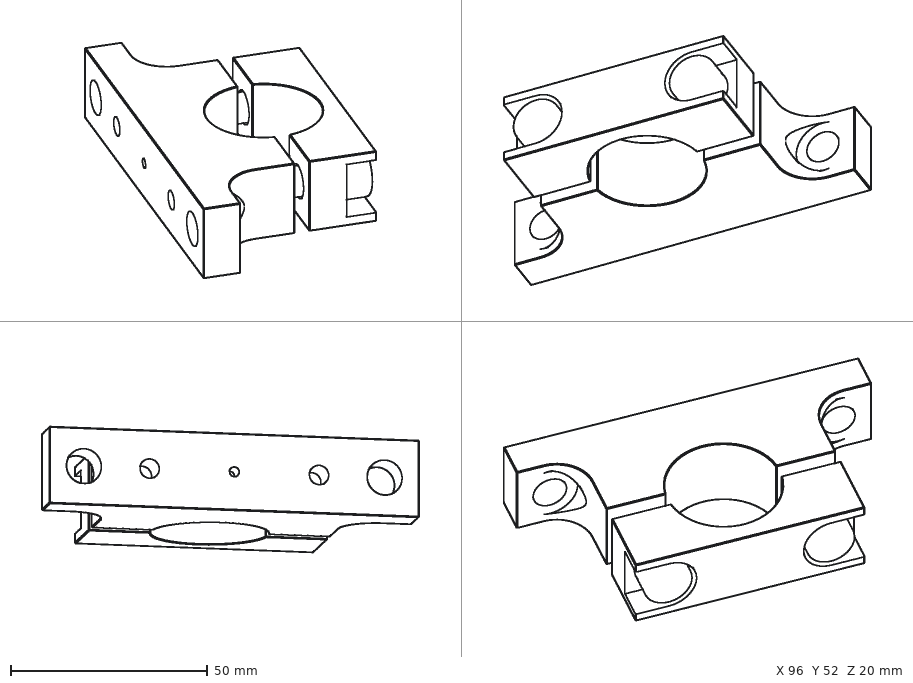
import cadquery as cq
import math

base_length = 96.0
thickness = 20.0
clamp_width = 62.0
total_depth = 52.0
edge_chamfer = 0.24

bore_diameter = 30.0
bore_y = 32.1
gap = 3.8
base_top_y = bore_y - gap / 2
cap_bottom_y = bore_y + gap / 2

foot_height = 10.0
foot_fillet = 9.6
mount_spacing = 78.0
mount_hole_diameter = 9.0
spotface_diameter = 15.0

dowel_hole_diameter = 5.0
dowel_hole_depth = 10.0
center_hole_diameter = 2.5
center_hole_depth = 6.0
drill_tip_angle = 90.0

screw_spacing = 44.0
shank_diameter = 8.0
clearance_diameter = 9.0
shank_length = 30.0
head_diameter = 13.0
head_height = 8.0
head_fillet = 0.8
pocket_width = 15.0
pocket_floor_y = total_depth - head_height
screw_tip_y = pocket_floor_y - shank_length


def y_cylinder(diameter, x, y_start, y_end):
    """Cylinder along Y between two heights, centred on z = 0."""
    origin = cq.Vector(x, y_start, 0)
    return cq.Workplane(cq.Solid.makeCylinder(diameter / 2, y_end - y_start, origin, cq.Vector(0, 1, 0)))


def mirrored_x(spacing):
    return (-spacing / 2, spacing / 2)


def plate(outline):
    """Extrude an XY outline symmetrically through the full thickness."""
    return outline.extrude(thickness / 2, both=True)


def cut_bore(block):
    return block.cut(plate(cq.Workplane("XY").center(0, bore_y).circle(bore_diameter / 2)))


def make_base():
    half_length = base_length / 2
    half_width = clamp_width / 2
    fillet_x = half_width + foot_fillet
    fillet_y = foot_height + foot_fillet
    fillet_mid_x = fillet_x - foot_fillet * math.sqrt(0.5)
    fillet_mid_y = fillet_y - foot_fillet * math.sqrt(0.5)
    outline = (
        cq.Workplane("XY")
        .moveTo(-half_length, 0)
        .lineTo(half_length, 0)
        .lineTo(half_length, foot_height)
        .lineTo(fillet_x, foot_height)
        .threePointArc((fillet_mid_x, fillet_mid_y), (half_width, fillet_y))
        .lineTo(half_width, base_top_y)
        .lineTo(-half_width, base_top_y)
        .lineTo(-half_width, fillet_y)
        .threePointArc((-fillet_mid_x, fillet_mid_y), (-fillet_x, foot_height))
        .lineTo(-half_length, foot_height)
        .close()
    )
    base = cut_bore(plate(outline)).edges().chamfer(edge_chamfer)

    for x in mirrored_x(mount_spacing):
        base = base.cut(y_cylinder(mount_hole_diameter, x, 0, foot_height))
        base = base.cut(y_cylinder(spotface_diameter, x, foot_height, base_top_y))

    for x in mirrored_x(screw_spacing):
        base = base.cut(y_cylinder(shank_diameter, x, screw_tip_y, base_top_y))
        base = base.cut(y_cylinder(dowel_hole_diameter, x, 0, dowel_hole_depth))
    return base.cut(make_center_drilling())


def make_center_drilling():
    """Small blind hole with a conical drill tip."""
    radius = center_hole_diameter / 2
    tip_length = radius / math.tan(math.radians(drill_tip_angle / 2))
    return (
        cq.Workplane("XY")
        .lineTo(radius, 0)
        .lineTo(radius, center_hole_depth)
        .lineTo(0, center_hole_depth + tip_length)
        .close()
        .revolve(360, (0, 0, 0), (0, 1, 0))
    )


def make_head_pocket(side):
    """Pocket round the screw axis on its inner end, open to the outside in X and +Y."""
    screw_x = side * screw_spacing / 2
    outer_x = side * clamp_width / 2
    round_end = y_cylinder(pocket_width, screw_x, pocket_floor_y, total_depth)
    channel = cq.Workplane("XY").box(abs(outer_x - screw_x), head_height, pocket_width)
    channel = channel.translate(((screw_x + outer_x) / 2, pocket_floor_y + head_height / 2, 0))
    return round_end.union(channel)


def make_cap():
    cap_depth = total_depth - cap_bottom_y
    block = plate(cq.Workplane("XY").center(0, cap_bottom_y + cap_depth / 2).rect(clamp_width, cap_depth))
    cap = cut_bore(block).edges().chamfer(edge_chamfer)
    for side in (-1, 1):
        cap = cap.cut(make_head_pocket(side))
    for x in mirrored_x(screw_spacing):
        cap = cap.cut(y_cylinder(clearance_diameter, x, cap_bottom_y, pocket_floor_y))
    return cap


def make_screw(x):
    head = y_cylinder(head_diameter, x, pocket_floor_y, total_depth).faces(">Y").edges().fillet(head_fillet)
    return head.union(y_cylinder(shank_diameter, x, screw_tip_y, pocket_floor_y))


base = make_base()
cap = make_cap()
screws = [make_screw(x) for x in mirrored_x(screw_spacing)]

result = cq.Compound.makeCompound([base.val(), cap.val(), *[screw.val() for screw in screws]])